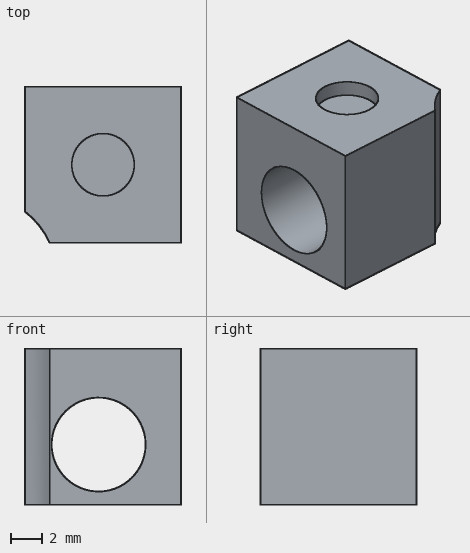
import cadquery as cq
import math

side = 10.0

bore_diameter = 6.0
bore_x = 4.72
bore_z = 3.86

recess_diameter = 4.0
recess_depth = 1.0

relief_along_x = 1.58
relief_along_y = 2.0
relief_sag = 0.16


def make_bore():
    """Cylinder that passes through the cube from front to back."""
    return (
        cq.Workplane("XZ", origin=(bore_x, 0, bore_z))
        .circle(bore_diameter / 2)
        .extrude(-side)
    )


def make_recess():
    """Cylinder that sinks into the middle of the top face."""
    return (
        cq.Workplane("XY", origin=(side / 2, side / 2, side))
        .circle(recess_diameter / 2)
        .extrude(-recess_depth)
    )


def make_corner_relief():
    """Full-height corner prism whose arc bows into the cube."""
    chord = math.hypot(relief_along_x, relief_along_y)
    arc_middle = (
        relief_along_x / 2 + relief_sag * relief_along_y / chord,
        relief_along_y / 2 + relief_sag * relief_along_x / chord,
    )
    return (
        cq.Workplane("XY")
        .moveTo(0, 0)
        .lineTo(relief_along_x, 0)
        .threePointArc(arc_middle, (0, relief_along_y))
        .close()
        .extrude(side)
    )


cube = cq.Workplane("XY").box(side, side, side, centered=False)
result = cube.cut(make_bore()).cut(make_recess()).cut(make_corner_relief())